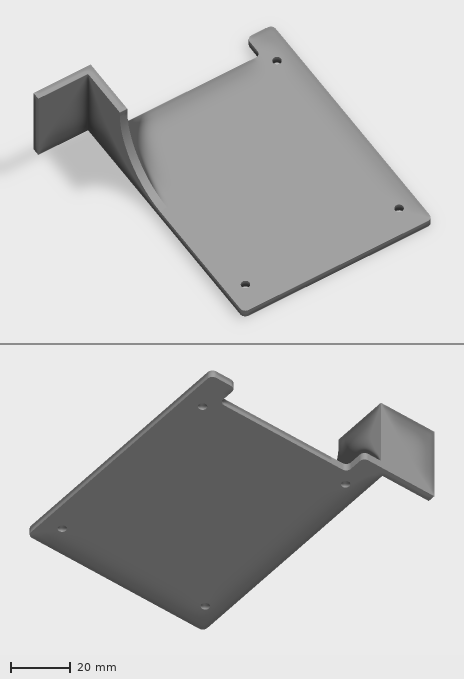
import cadquery as cq

plate_length = 100.5
plate_width = 76.0
thickness = 3.0
corner_radius = 2.0
plate_mid_y = plate_width / 2

notch_depth = 8.9
notch_width = 55.0

hole_diameter = 3.2
hole_first_x = 14.0
hole_spacing_x = 76.5
hole_spacing_y = 61.7

panel_length = 60.0
panel_width = 45.0
panel_start_x = 24.4
panel_radius = 2.0

bracket_height = 30.0
bracket_reach = 20.0
side_wall_length = bracket_reach + thickness
gusset_radius = 25.0

plug_diameter = hole_diameter
plug_head_diameter = 6.2
plug_head_depth = (plug_head_diameter - plug_diameter) / 2
plug_along_x = thickness + bracket_reach / 2
plug_along_y = -bracket_reach / 2
plug_height = bracket_height / 2

plug_places = [
    (cq.Vector(plug_along_x, thickness, plug_height), cq.Vector(0, -1, 0)),
    (cq.Vector(0, plug_along_y, plug_height), cq.Vector(1, 0, 0)),
]


def make_plate():
    """Plate with rounded corners, an edge notch and four mounting holes."""
    plate = cq.Workplane("XY").box(plate_length, plate_width, thickness, centered=False)
    notch = (
        cq.Workplane("XY")
        .center(0, plate_mid_y)
        .rect(2 * notch_depth, notch_width)
        .extrude(thickness)
    )
    plate = plate.cut(notch).edges("|Z").fillet(corner_radius)

    holes = (
        cq.Workplane("XY")
        .center(hole_first_x + hole_spacing_x / 2, plate_mid_y)
        .rect(hole_spacing_x, hole_spacing_y, forConstruction=True)
        .vertices()
        .circle(hole_diameter / 2)
        .extrude(thickness)
    )
    return plate.cut(holes)


def make_panel():
    """Rounded rectangular panel that fills the plate window."""
    return (
        cq.Workplane("XY")
        .center(panel_start_x + panel_length / 2, plate_mid_y)
        .rect(panel_length, panel_width)
        .extrude(thickness)
        .edges("|Z")
        .fillet(panel_radius)
    )


def make_bracket():
    """Two upright walls in an L."""
    side_wall = cq.Workplane("XY").box(side_wall_length, thickness, bracket_height, centered=False)
    end_wall = (
        cq.Workplane("XY")
        .box(thickness, side_wall_length, bracket_height, centered=False)
        .translate((0, -bracket_reach, 0))
    )
    return side_wall.union(end_wall)


def make_gusset():
    """Concave quarter-round web between the side wall and the plate top."""
    blank = cq.Workplane("XY").box(gusset_radius, thickness, gusset_radius, centered=False)
    hollow = (
        cq.Workplane("XZ")
        .center(gusset_radius, gusset_radius)
        .circle(gusset_radius)
        .extrude(-thickness)
    )
    return blank.cut(hollow).translate((side_wall_length, 0, thickness))


def make_plug(head_center, inward):
    """Plug through a wall: a conical head that narrows to a straight shank."""
    head = cq.Solid.makeCone(
        plug_head_diameter / 2, plug_diameter / 2, plug_head_depth, head_center, inward
    )
    shank_start = head_center + inward * plug_head_depth
    shank = cq.Solid.makeCylinder(
        plug_diameter / 2, thickness - plug_head_depth, shank_start, inward
    )
    return cq.Workplane(obj=head).union(cq.Workplane(obj=shank))


panel = make_panel()
plugs = [make_plug(head_center, inward) for head_center, inward in plug_places]

mount = make_plate().union(make_bracket()).union(make_gusset()).cut(panel)
for plug in plugs:
    mount = mount.cut(plug)

bodies = [mount, panel, *plugs]
result = cq.Compound.makeCompound([body.solids().val() for body in bodies])